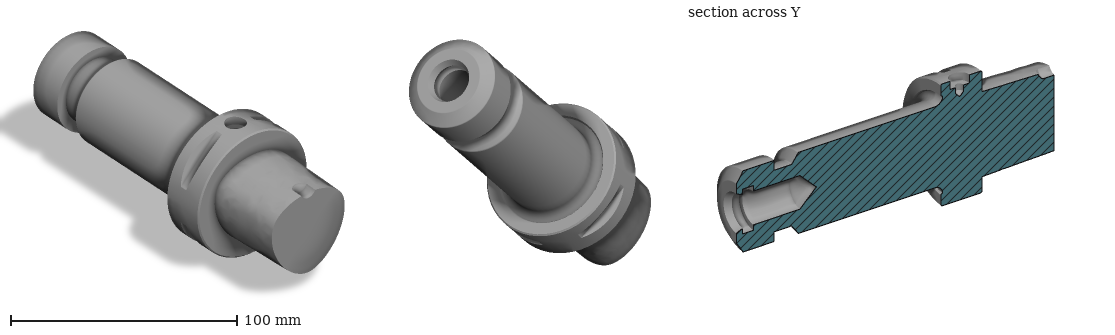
import cadquery as cq
import math

TOTAL_LENGTH = 168.0
NOSE_CHAMFER_LENGTH = 3.5
NUT_END = 20.2
NECK_END = 29.2
SHOULDER_END = 32.8
FLANGE_START = 107.9
FLANGE_END = 129.9

NOSE_DIAMETER = 30.5
BODY_DIAMETER = 42.0
NECK_DIAMETER = 32.0
FLANGE_DIAMETER = 63.0
FLANGE_CHAMFER = 0.7
EDGE_ROUNDING = 0.7
CLEARANCE = 1.7

RELIEF_FILLET = 3.9
RELIEF_START = 105.0
RELIEF_LIP_DIAMETER = 51.0

MOUTH_DIAMETER = 20.2
MOUTH_DEPTH = 3.4
BORE_DIAMETER = 17.1
CAVITY_DIAMETER = 22.8
CAVITY_END = 8.9
BORE_DEPTH = 33.6
DRILL_POINT_ANGLE = 90.0

SLOT_X = 118.0
SLOT_COUNT = 4
SLOT_FLOOR_RADIUS = 27.9
SLOT_FLOOR_WIDTH = 3.7
SLOT_FLANK_ANGLE = 30.0

POCKET_DIAMETER = 10.0
POCKET_DEPTH = 4.2
PILOT_DIAMETER = 4.0
PILOT_DEPTH = 3.4

SHANK_BASE_RADIUS = 22.0
SHANK_END_RADIUS = 21.0
LOBE_HEIGHT = 1.3
LOBE_COUNT = 3
SHANK_POINTS = 36

NOTCH_RADIUS = 4.4
NOTCH_LENGTH = 6.0
NOTCH_AXIS_LIFT = 1.5
NOTCH_DOME_HEIGHT = 2.7


def make_turned_body():
    body_radius = BODY_DIAMETER / 2
    neck_radius = NECK_DIAMETER / 2
    flange_radius = FLANGE_DIAMETER / 2
    relief_radius = body_radius + RELIEF_FILLET
    relief_floor = RELIEF_START + RELIEF_FILLET
    arc_offset = RELIEF_FILLET * math.sqrt(0.5)
    profile = (
        cq.Workplane("XY")
        .lineTo(0, NOSE_DIAMETER / 2)
        .lineTo(NOSE_CHAMFER_LENGTH, body_radius)
        .lineTo(NUT_END, body_radius)
        .lineTo(NUT_END, neck_radius)
        .lineTo(NECK_END, neck_radius)
        .lineTo(SHOULDER_END, body_radius)
        .lineTo(RELIEF_START, body_radius)
        .threePointArc(
            (RELIEF_START + arc_offset, relief_radius - arc_offset),
            (relief_floor, relief_radius),
        )
        .lineTo(FLANGE_START, RELIEF_LIP_DIAMETER / 2)
        .lineTo(FLANGE_START, flange_radius - FLANGE_CHAMFER)
        .lineTo(FLANGE_START + FLANGE_CHAMFER, flange_radius)
        .lineTo(FLANGE_END - FLANGE_CHAMFER, flange_radius)
        .lineTo(FLANGE_END, flange_radius - FLANGE_CHAMFER)
        .lineTo(FLANGE_END, 0)
        .close()
    )
    body = profile.revolve(360, (0, 0, 0), (1, 0, 0))
    nose_corners = cq.selectors.BoxSelector(
        (-CLEARANCE, -body_radius, -body_radius),
        (NOSE_CHAMFER_LENGTH + CLEARANCE, body_radius, body_radius),
        boundingbox=False,
    )
    shoulder_corners = cq.selectors.BoxSelector(
        (NECK_END - CLEARANCE, -body_radius, -body_radius),
        (SHOULDER_END + CLEARANCE, body_radius, body_radius),
        boundingbox=False,
    )
    return body.edges("%CIRCLE").edges(nose_corners + shoulder_corners).fillet(EDGE_ROUNDING)


def drill_point_length(radius):
    return radius / math.tan(math.radians(DRILL_POINT_ANGLE / 2))


def make_bore():
    bore_radius = BORE_DIAMETER / 2
    cavity_radius = CAVITY_DIAMETER / 2
    drill_point = drill_point_length(bore_radius)
    profile = [
        (0, 0),
        (0, MOUTH_DIAMETER / 2),
        (MOUTH_DEPTH, bore_radius),
        (MOUTH_DEPTH, cavity_radius),
        (CAVITY_END, cavity_radius),
        (CAVITY_END, bore_radius),
        (BORE_DEPTH, bore_radius),
        (BORE_DEPTH + drill_point, 0),
    ]
    return cq.Workplane("XY").polyline(profile).close().revolve(360, (0, 0, 0), (1, 0, 0))


def lobed_point(angle, mean_radius):
    """Point of a constant-width lobed curve whose tangent is normal to the angle."""
    phase = LOBE_COUNT * (angle + math.pi / 2)
    support = mean_radius + LOBE_HEIGHT * math.cos(phase)
    slope = -LOBE_COUNT * LOBE_HEIGHT * math.sin(phase)
    y = support * math.cos(angle) - slope * math.sin(angle)
    z = support * math.sin(angle) + slope * math.cos(angle)
    return (y, z)


def make_shank():
    def outline(workplane, mean_radius):
        angles = [2 * math.pi * index / SHANK_POINTS for index in range(SHANK_POINTS)]
        points = [lobed_point(angle, mean_radius) for angle in angles]
        return workplane.spline(points, periodic=True).close()

    base = outline(cq.Workplane("YZ", origin=(FLANGE_END, 0, 0)), SHANK_BASE_RADIUS)
    end_plane = base.workplane(offset=TOTAL_LENGTH - FLANGE_END)
    return outline(end_plane, SHANK_END_RADIUS).loft(ruled=True)


def make_notch():
    """Round-bottomed groove along X with a domed inner end."""
    axis_height = SHANK_END_RADIUS - LOBE_HEIGHT + NOTCH_AXIS_LIFT
    shoulder = TOTAL_LENGTH - NOTCH_LENGTH
    dome_radius = (NOTCH_RADIUS**2 + NOTCH_DOME_HEIGHT**2) / (2 * NOTCH_DOME_HEIGHT)
    dome_center = shoulder - NOTCH_DOME_HEIGHT + dome_radius
    half_angle = math.asin(NOTCH_RADIUS / dome_radius) / 2
    dome_middle = (
        dome_center - dome_radius * math.cos(half_angle),
        dome_radius * math.sin(half_angle),
    )
    profile = (
        cq.Workplane("XY")
        .moveTo(shoulder - NOTCH_DOME_HEIGHT, 0)
        .threePointArc(dome_middle, (shoulder, NOTCH_RADIUS))
        .lineTo(TOTAL_LENGTH, NOTCH_RADIUS)
        .lineTo(TOTAL_LENGTH, 0)
        .close()
    )
    cutter = profile.revolve(360, (0, 0, 0), (1, 0, 0))
    return cutter.translate((0, 0, axis_height))


def make_gripper_slot():
    """Straight V-sided slot along Y, on the +Z side of the flange."""
    height = FLANGE_DIAMETER / 2 - SLOT_FLOOR_RADIUS + CLEARANCE
    half_floor = SLOT_FLOOR_WIDTH / 2
    half_top = half_floor + height * math.tan(math.radians(SLOT_FLANK_ANGLE))
    section = [
        (SLOT_X - half_floor, SLOT_FLOOR_RADIUS),
        (SLOT_X + half_floor, SLOT_FLOOR_RADIUS),
        (SLOT_X + half_top, SLOT_FLOOR_RADIUS + height),
        (SLOT_X - half_top, SLOT_FLOOR_RADIUS + height),
    ]
    return cq.Workplane("XZ").polyline(section).close().extrude(FLANGE_DIAMETER / 2, both=True)


def make_pocket():
    top = cq.Workplane("XY", origin=(SLOT_X, 0, FLANGE_DIAMETER / 2))
    pocket = top.circle(POCKET_DIAMETER / 2).extrude(-POCKET_DEPTH)
    pilot_radius = PILOT_DIAMETER / 2
    pilot_depth = POCKET_DEPTH + PILOT_DEPTH
    drill_point = drill_point_length(pilot_radius)
    profile = [(0, 0), (pilot_radius, 0), (pilot_radius, -pilot_depth), (0, -pilot_depth - drill_point)]
    pilot = cq.Workplane("XZ").polyline(profile).close().revolve(360, (0, 0, 0), (0, 1, 0))
    return pocket.union(pilot.translate((SLOT_X, 0, FLANGE_DIAMETER / 2)))


result = make_turned_body().cut(make_bore()).union(make_shank()).cut(make_notch()).cut(make_pocket())

slot_pitch = 360 / SLOT_COUNT
for index in range(SLOT_COUNT):
    slot = make_gripper_slot().rotate((0, 0, 0), (1, 0, 0), slot_pitch * (index + 0.5))
    result = result.cut(slot)